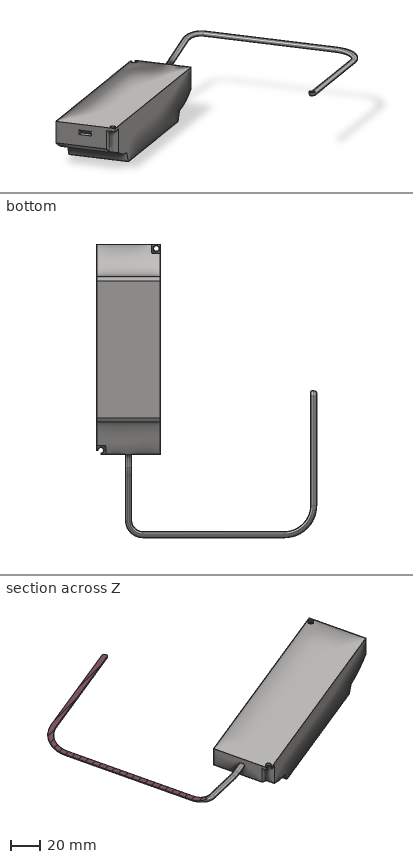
import cadquery as cq
import math

HOUSING_WIDTH = 43.3
HOUSING_LENGTH = 142.8
HOUSING_HEIGHT = 31.3

END_WALL_BOTTOM = 16.0
SHOULDER_LENGTH = 22.0
SHOULDER_BOTTOM = 7.0
SHOULDER_MID_INSET = 10.4
SHOULDER_MID_HEIGHT = 10.2
FOOT_INSET = 24.7

LID_THICKNESS = 2.4
POCKET_SIDE = 6.2
POCKET_CORNER_RADIUS = 1.4
SCREW_INSET = 2.8
SCREW_HOLE_DIAMETER = 3.8

SOCKET_LEFT_X = 16.7
SOCKET_WIDTH = 9.0
SOCKET_HEIGHT = 3.2
SOCKET_DEPTH = 4.0
SOCKET_CENTER_Z = 25.5

CABLE_WIDTH = 4.2
CABLE_THICKNESS = 2.8
CABLE_ROOT_DEPTH = 2.0
CABLE_X = HOUSING_WIDTH / 2
CABLE_EXIT_Z = 25.5
CABLE_EXIT_LENGTH = 8.8
CLIMB_ANGLE = 15.0
CLIMB_BEND_RADIUS = 20.0
NEAR_BEND_RADIUS = 10.0
FAR_BEND_RADIUS = 20.0
TIP_BEND_RADIUS = 2.0
CABLE_MAX_X = 149.5
CABLE_MAX_Y = 199.4
FREE_LEG_END_Y = 102.9


def make_block():
    """Extrude the symmetric side profile across the housing width."""
    back = HOUSING_LENGTH
    return (
        cq.Workplane("YZ")
        .moveTo(0, HOUSING_HEIGHT)
        .lineTo(0, END_WALL_BOTTOM)
        .threePointArc((SHOULDER_MID_INSET, SHOULDER_MID_HEIGHT), (SHOULDER_LENGTH, SHOULDER_BOTTOM))
        .lineTo(FOOT_INSET, 0)
        .lineTo(back - FOOT_INSET, 0)
        .lineTo(back - SHOULDER_LENGTH, SHOULDER_BOTTOM)
        .threePointArc((back - SHOULDER_MID_INSET, SHOULDER_MID_HEIGHT), (back, END_WALL_BOTTOM))
        .lineTo(back, HOUSING_HEIGHT)
        .close()
        .extrude(HOUSING_WIDTH)
    )


def box_between(low, high):
    """Axis-aligned box given two opposite corners."""
    sizes = [b - a for a, b in zip(low, high)]
    return cq.Workplane("XY").box(*sizes, centered=False).translate(low)


def screw_pocket():
    """Pocket under the lid at the front right corner, rounded on its inner edge."""
    pocket = box_between(
        (HOUSING_WIDTH - POCKET_SIDE, 0, 0),
        (HOUSING_WIDTH, POCKET_SIDE, HOUSING_HEIGHT - LID_THICKNESS),
    )
    return pocket.edges("|Z and <X and >Y").fillet(POCKET_CORNER_RADIUS)


def screw_hole(x, y):
    """Round hole through the full height."""
    return (
        cq.Workplane("XY")
        .center(x, y)
        .circle(SCREW_HOLE_DIAMETER / 2)
        .extrude(HOUSING_HEIGHT)
    )


def make_housing():
    front_pocket = screw_pocket()
    axis_bottom = (HOUSING_WIDTH / 2, HOUSING_LENGTH / 2, 0)
    axis_top = (HOUSING_WIDTH / 2, HOUSING_LENGTH / 2, HOUSING_HEIGHT)
    back_pocket = front_pocket.rotate(axis_bottom, axis_top, 180)

    front_hole = screw_hole(HOUSING_WIDTH - SCREW_INSET, SCREW_INSET)
    back_hole = screw_hole(SCREW_INSET, HOUSING_LENGTH - SCREW_INSET)
    corner_cut = box_between(
        (0, HOUSING_LENGTH - SCREW_INSET, 0),
        (SCREW_INSET, HOUSING_LENGTH, HOUSING_HEIGHT),
    )
    socket = box_between(
        (SOCKET_LEFT_X, 0, SOCKET_CENTER_Z - SOCKET_HEIGHT / 2),
        (SOCKET_LEFT_X + SOCKET_WIDTH, SOCKET_DEPTH, SOCKET_CENTER_Z + SOCKET_HEIGHT / 2),
    )

    housing = make_block()
    for cutter in (front_pocket, back_pocket, front_hole, back_hole, corner_cut, socket):
        housing = housing.cut(cutter)
    return housing


def cable_root():
    """Start of the cable centre line, just inside the back wall."""
    return cq.Vector(CABLE_X, HOUSING_LENGTH - CABLE_ROOT_DEPTH, CABLE_EXIT_Z)


def cable_path():
    """Centre line: exit, climb, run along X, return along -Y, then turn up at the tip."""
    climb = math.radians(CLIMB_ANGLE)
    climb_direction = cq.Vector(0, math.cos(climb), math.sin(climb))
    along_x = cq.Vector(1, 0, 0)
    along_y = cq.Vector(0, 1, 0)
    along_z = cq.Vector(0, 0, 1)
    edge_radius = CABLE_THICKNESS / 2
    half_span = edge_radius + (CABLE_WIDTH / 2 - edge_radius) * math.cos(climb)
    run_y = CABLE_MAX_Y - half_span
    leg_x = CABLE_MAX_X - half_span

    root = cable_root()
    exit_end = root + along_y * (CABLE_ROOT_DEPTH + CABLE_EXIT_LENGTH)
    climb_start = exit_end + cq.Vector(
        0, CLIMB_BEND_RADIUS * math.sin(climb), CLIMB_BEND_RADIUS * (1 - math.cos(climb))
    )
    climb_length = (run_y - climb_start.y) / math.cos(climb) - NEAR_BEND_RADIUS
    climb_end = climb_start + climb_direction * climb_length
    run_start = climb_end + (climb_direction + along_x) * NEAR_BEND_RADIUS
    run_end = cq.Vector(leg_x - FAR_BEND_RADIUS, run_start.y, run_start.z)
    leg_start = run_end + (along_x - along_y) * FAR_BEND_RADIUS
    leg_end = cq.Vector(leg_x, FREE_LEG_END_Y, leg_start.z)
    tip = leg_end + (along_z - along_y) * TIP_BEND_RADIUS

    return cq.Wire.assembleEdges([
        cq.Edge.makeLine(root, exit_end),
        cq.Edge.makeTangentArc(exit_end, along_y, climb_start),
        cq.Edge.makeLine(climb_start, climb_end),
        cq.Edge.makeTangentArc(climb_end, climb_direction, run_start),
        cq.Edge.makeLine(run_start, run_end),
        cq.Edge.makeTangentArc(run_end, along_x, leg_start),
        cq.Edge.makeLine(leg_start, leg_end),
        cq.Edge.makeTangentArc(leg_end, along_y * -1, tip),
    ])


def make_cable():
    root_plane = cq.Plane(origin=cable_root(), xDir=(1, 0, 0), normal=(0, 1, 0))
    return cq.Workplane(root_plane).slot2D(CABLE_WIDTH, CABLE_THICKNESS).sweep(cable_path())


result = make_housing().union(make_cable())